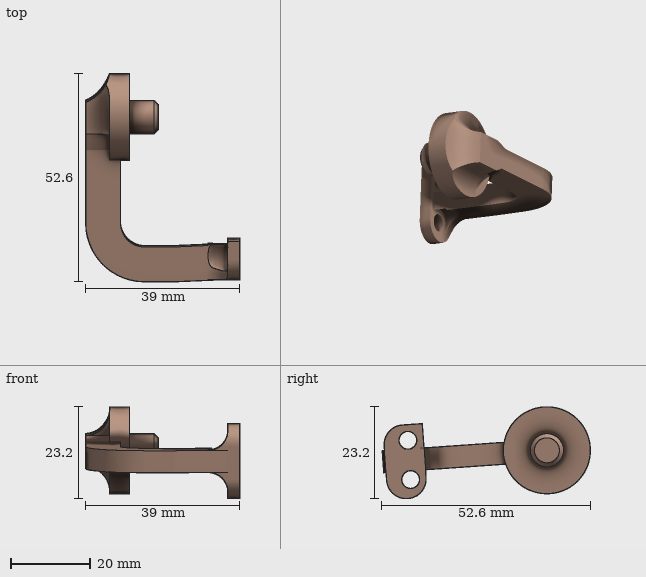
import cadquery as cq
import math

tilt = 4.0

disc_diameter = 22.0
disc_radius = disc_diameter / 2
disc_back = 6.05
disc_front = 11.1
pin_diameter = 8.4
pin_end = 18.35
pin_chamfer = 1.05

block_half = 4.0
block_end_bulge = (4.05, 7.05)
taper_end_top = -8.15
taper_end_bottom = -6.6

bar_width = 8.85
bar_height = 5.6
bar_half = bar_height / 2
bar_outer_y = -41.55
bar_inner_y = bar_outer_y + bar_width
bend_outer_radius = 14.9
bend_inner_radius = bend_outer_radius - bar_width
skew_start = 22.5
skew_offset = 0.6

flange_back = 35.9
flange_front = 39.0
flange_width = 10.05
flange_corner_radius = flange_width / 2
flange_top = 8.95
flange_bottom = -9.75
flange_outer_y = bar_outer_y + skew_offset
flange_inner_y = flange_outer_y + flange_width
flange_middle_y = flange_outer_y + flange_corner_radius
gusset_radius = 4.95
hole_diameter = 4.4
hole_y = -34.85
hole_spacing = 9.95
clearance_diameter = 7.6
clearance_end_round = 1.75


def cylinder_x(diameter, x_start, x_end, y=0, z=0):
    """Round bar along X."""
    return cq.Workplane("YZ", origin=(x_start, y, z)).circle(diameter / 2).extrude(x_end - x_start)


def make_disc_and_pin():
    disc = cylinder_x(disc_diameter, disc_back, disc_front)
    pin = cylinder_x(pin_diameter, disc_front, pin_end).faces(">X").chamfer(pin_chamfer)
    return disc.union(pin)


def make_hub_block():
    """Block behind the disc, flaring out to the disc above, below and at its free end."""
    flare_edge = block_half + disc_back
    arc_x = disc_back * math.sin(math.radians(45))
    arc_z = flare_edge - disc_back * math.cos(math.radians(45))
    side_flares = (
        cq.Workplane("XZ", origin=(0, disc_radius, 0))
        .moveTo(0, -block_half)
        .threePointArc((arc_x, -arc_z), (disc_back, -flare_edge))
        .lineTo(disc_back, flare_edge)
        .threePointArc((arc_x, arc_z), (0, block_half))
        .close()
        .extrude(disc_radius + block_half)
    )
    end_flare = (
        cq.Workplane("XY")
        .moveTo(0, -block_half)
        .lineTo(disc_back, -block_half)
        .lineTo(disc_back, disc_radius)
        .threePointArc(block_end_bulge, (0, block_half))
        .close()
        .extrude(disc_radius, both=True)
    )
    return side_flares.intersect(end_flare).intersect(cylinder_x(disc_diameter, 0, disc_back))


def make_taper():
    """Transition from the height of the hub block to the height of the bar."""
    outline = [
        (-block_half, block_half),
        (taper_end_top, bar_half),
        (taper_end_bottom, -bar_half),
        (-block_half, -block_half),
    ]
    return cq.Workplane("YZ").polyline(outline).close().extrude(disc_back)


def make_bar():
    """L-shaped bar whose short leg turns slightly towards the hub before the flange."""
    bend_y = bar_outer_y + bend_outer_radius
    return (
        cq.Workplane("XY")
        .moveTo(0, -block_half)
        .lineTo(0, bend_y)
        .radiusArc((bend_outer_radius, bar_outer_y), -bend_outer_radius)
        .lineTo(skew_start, bar_outer_y)
        .lineTo(flange_back, bar_outer_y + skew_offset)
        .lineTo(flange_back, bar_inner_y + skew_offset)
        .lineTo(skew_start, bar_inner_y)
        .lineTo(bend_outer_radius, bar_inner_y)
        .radiusArc((bar_width, bend_y), bend_inner_radius)
        .lineTo(bar_width, -block_half)
        .close()
        .extrude(bar_half, both=True)
    )


def make_flange_plate(x_start, x_end):
    """Plate with a round lower end and one rounded upper corner."""
    top_arc_z = flange_top - flange_corner_radius
    bottom_arc_z = flange_bottom + flange_corner_radius
    return (
        cq.Workplane("YZ", origin=(x_start, 0, 0))
        .moveTo(flange_inner_y, flange_top)
        .lineTo(flange_middle_y, flange_top)
        .radiusArc((flange_outer_y, top_arc_z), -flange_corner_radius)
        .lineTo(flange_outer_y, bottom_arc_z)
        .threePointArc((flange_middle_y, flange_bottom), (flange_inner_y, bottom_arc_z))
        .close()
        .extrude(x_end - x_start)
    )


def make_gusset(side):
    """Concave fillet between the bar and the flange, above (side 1) or below (side -1)."""
    start_x = flange_back - gusset_radius
    arc_offset = gusset_radius * math.sin(math.radians(45))
    arc_point = (start_x + arc_offset, side * (bar_half + gusset_radius - arc_offset))
    gusset = (
        cq.Workplane("XZ", origin=(0, bar_inner_y + skew_offset, 0))
        .moveTo(start_x, 0)
        .lineTo(start_x, side * bar_half)
        .threePointArc(arc_point, (flange_back, side * (bar_half + gusset_radius)))
        .lineTo(flange_back, 0)
        .close()
        .extrude(bar_width)
    )
    return gusset.intersect(make_flange_plate(start_x, flange_back))


def make_screw_cutter(side):
    """Screw hole with a round-ended clearance for the screw head."""
    z = side * hole_spacing / 2
    head = cylinder_x(clearance_diameter, flange_back - gusset_radius, flange_back, hole_y, z)
    head = head.faces("<X").edges().fillet(clearance_end_round)
    return head.union(cylinder_x(hole_diameter, flange_back, flange_front, hole_y, z))


handle = make_disc_and_pin().union(make_hub_block()).union(make_taper()).union(make_bar())
handle = handle.union(make_flange_plate(flange_back, flange_front))
for side in (1, -1):
    handle = handle.union(make_gusset(side))
for side in (1, -1):
    handle = handle.cut(make_screw_cutter(side))

result = handle.rotate((0, 0, 0), (1, 0, 0), tilt)